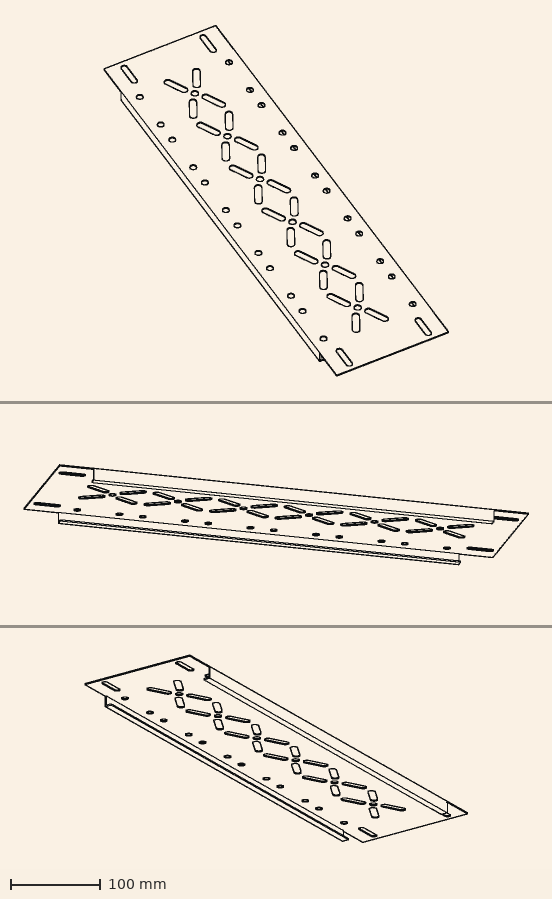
import cadquery as cq

plate_length = 544.0
plate_width = 142.0
channel_height = 14.0
sheet = 1.5
end_tab = 39.5
lip_width = 8.0

cell_count = 6
cell_span = 380.0
center_hole_diameter = 8.0

cross_slot_length = 30.0
cross_slot_width = 8.0
cross_slot_angle = 27.5
cross_slot_dx = 20.0
cross_slot_dy = 13.0

edge_hole_diameter = 7.5
edge_hole_dx = 24.5
edge_hole_y = 56.5

mount_slot_length = 30.5
mount_slot_width = 7.0
mount_slot_x = 251.5
mount_slot_y = 50.0

wall_length = plate_length - 2 * end_tab
cell_pitch = cell_span / (cell_count - 1)
cell_centers = [i * cell_pitch - cell_span / 2 for i in range(cell_count)]
sides = (-1, 1)


def base_plate():
    """Flat top sheet with its upper face at Z = 0."""
    return cq.Workplane("XY").rect(plate_length, plate_width).extrude(-sheet)


def side_wall(side):
    """L-shaped wall and lip below one long edge; side is the sign of Y."""
    outer = side * plate_width / 2
    inner = outer - side * sheet
    lip_edge = outer - side * lip_width
    profile = [
        (outer, 0),
        (outer, -channel_height),
        (lip_edge, -channel_height),
        (lip_edge, -channel_height + sheet),
        (inner, -channel_height + sheet),
        (inner, 0),
    ]
    return cq.Workplane("YZ").polyline(profile).close().extrude(wall_length / 2, both=True)


def cut_holes(body, points, diameter):
    """Round holes through the top sheet."""
    return body.cut(cq.Workplane("XY").pushPoints(points).circle(diameter / 2).extrude(-sheet))


def cut_slots(body, points, length, width, angle=0):
    """Round-ended slots through the top sheet."""
    return body.cut(cq.Workplane("XY").pushPoints(points).slot2D(length, width, angle).extrude(-sheet))


result = base_plate()
for side in sides:
    result = result.union(side_wall(side))

result = cut_holes(result, [(x, 0) for x in cell_centers], center_hole_diameter)

edge_holes = [
    (x + sx * edge_hole_dx, sy * edge_hole_y) for x in cell_centers for sx in sides for sy in sides
]
result = cut_holes(result, edge_holes, edge_hole_diameter)

for slope in sides:
    cross_slots = [
        (x + s * cross_slot_dx, s * slope * cross_slot_dy) for x in cell_centers for s in sides
    ]
    result = cut_slots(
        result, cross_slots, cross_slot_length, cross_slot_width, slope * cross_slot_angle
    )

mount_slots = [(sx * mount_slot_x, sy * mount_slot_y) for sx in sides for sy in sides]
result = cut_slots(result, mount_slots, mount_slot_length, mount_slot_width)